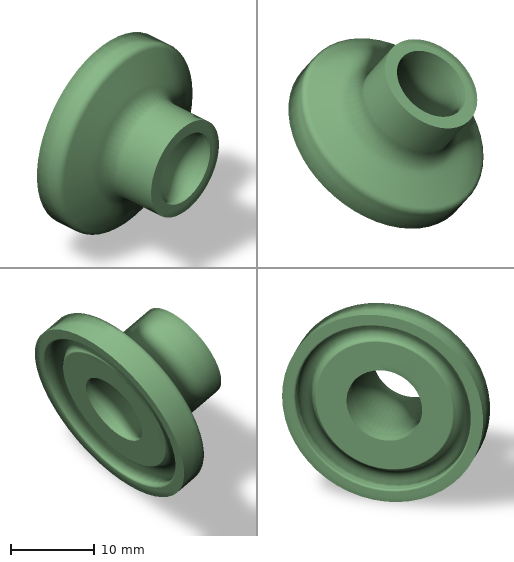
import cadquery as cq
import math

length = 12.7
flange_radius = 25 / 2
tube_radius = 12.7 / 2
bore_radius = 9.4 / 2

rim_length = 3.08
rim_round = 0.78
neck_round = 2.0
clamp_angle = math.radians(20)

groove_outer_radius = 21.8 / 2
groove_round = 0.8
groove_depth = 2.35
inner_wall_angle = math.radians(36)
mouth_round = 0.25

land_depth = 0.8
land_round = 0.18


def arc_point(center, radius, angle):
    return (center[0] + radius * math.cos(angle), center[1] + radius * math.sin(angle))


def make_body():
    """Solid flange and tube without the bore or the face recess."""
    rim_center = (rim_length, flange_radius - rim_round)
    cone_start = arc_point(rim_center, rim_round, clamp_angle)
    rim_middle = arc_point(rim_center, rim_round, (clamp_angle + math.pi / 2) / 2)

    neck_radius = tube_radius + neck_round
    cone_slope = math.tan(clamp_angle)
    neck_center_x = (
        cone_start[0]
        + (cone_start[1] - neck_radius) * cone_slope
        + neck_round / math.cos(clamp_angle)
    )
    neck_center = (neck_center_x, neck_radius)
    cone_end = arc_point(neck_center, neck_round, math.pi + clamp_angle)
    neck_middle = arc_point(neck_center, neck_round, math.pi * 1.25 + clamp_angle / 2)

    profile = (
        cq.Workplane("XY")
        .moveTo(0, 0)
        .lineTo(0, flange_radius)
        .lineTo(rim_length, flange_radius)
        .threePointArc(rim_middle, cone_start)
        .lineTo(*cone_end)
        .threePointArc(neck_middle, (neck_center_x, tube_radius))
        .lineTo(length, tube_radius)
        .lineTo(length, 0)
        .close()
    )
    return profile.revolve(360, (0, 0, 0), (1, 0, 0))


def make_face_recess():
    """Solid to cut from the sealing face: the land recess and the groove around it."""
    mouth_radius = groove_outer_radius + mouth_round
    mouth_center = (mouth_round, mouth_radius)
    mouth_middle = arc_point(mouth_center, mouth_round, math.radians(225))

    bottom_center = (groove_depth - groove_round, groove_outer_radius - groove_round)
    bottom = (groove_depth, bottom_center[1])
    inner_tangent = arc_point(bottom_center, groove_round, inner_wall_angle - math.pi / 2)

    wall_rise = inner_tangent[0] - land_depth
    wall_top_radius = inner_tangent[1] - wall_rise * math.tan(inner_wall_angle)
    turn_angle = math.pi / 2 - inner_wall_angle
    land_radius = wall_top_radius - land_round * math.tan(turn_angle / 2)
    land_center = (land_depth + land_round, land_radius)
    land_end = arc_point(land_center, land_round, math.pi - turn_angle)
    land_middle = arc_point(land_center, land_round, math.pi - turn_angle / 2)

    profile = (
        cq.Workplane("XY")
        .moveTo(0, 0)
        .lineTo(0, mouth_radius)
        .threePointArc(mouth_middle, (mouth_round, groove_outer_radius))
        .lineTo(bottom_center[0], groove_outer_radius)
        .threePointArc(bottom, inner_tangent)
        .lineTo(*land_end)
        .threePointArc(land_middle, (land_depth, land_radius))
        .lineTo(land_depth, 0)
        .close()
    )
    return profile.revolve(360, (0, 0, 0), (1, 0, 0))


bore = cq.Workplane("YZ").circle(bore_radius).extrude(length)
result = make_body().cut(make_face_recess()).cut(bore)